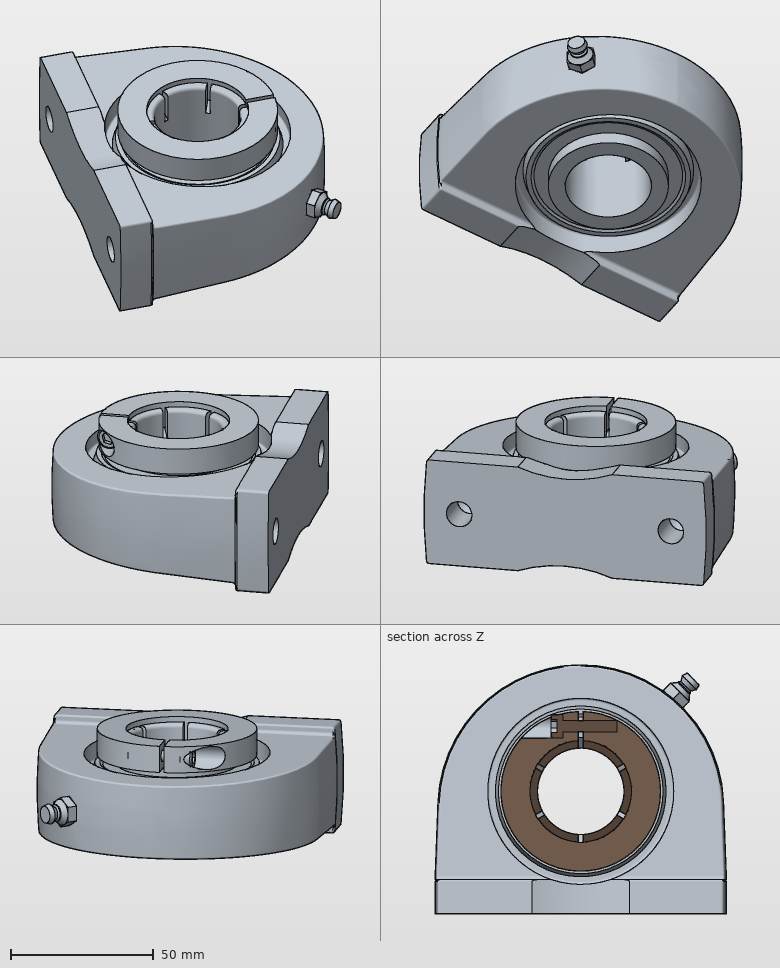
import cadquery as cq
import math


base_width = 101.9
base_height = 38.1
base_front_y = -42.8
base_back_y = -30.9
base_corner_fillet = 1.0
back_edge_fillet = 0.7
step_fillet = 1.2
waist_depth = 3.1
waist_half_width = 17.0
mount_hole_diameter = 9.2
mount_hole_spacing = 76.4
mount_hole_depth = 15.3
drill_point_angle = 118.0

crown_radius = 183.4
dome_radius = 50.0
dome_center_y = -5.8
flank_angle = 2.2
flank_length = 30.6
flank_overlap = 10.2
body_end_half_height = 13.0
body_edge_fillet = 0.7

mouth_radius = 65.0 / 2
mouth_floor_z = 8.4
mouth_floor_fillet = 0.8
seat_sphere_radius = 31.0

outer_ring_half_width = 11.5
outer_ring_bore_radius = 54.0 / 2
raceway_half_width = 8.2
inner_ring_radius = 42.0 / 2
inner_ring_bottom_z = -16.0
shoulder_z = 14.3
sleeve_radius = 17.8
sleeve_top_z = 21.7
bore_radius = 30.2 / 2
bore_rim_fillet = 1.5
slot_count = 6
slot_width = 1.6
slot_bottom_z = 10.6
first_slot_angle = 90.0
seal_lip_radius = 52.0 / 2
seal_recess = 0.5

collar_radius = 27.9
collar_top_z = 23.6
screw_y = 22.7
screw_z = 19.1
screw_head_radius = 8.3 / 2
screw_face_radius = 7.0 / 2
screw_head_x = -10.4
screw_head_length = 4.1
screw_shank_radius = 4.0 / 2
screw_end_x = 12.6
socket_flats = 4.3
socket_depth = 2.0
socket_turn = 15.0

nipple_angle = 45.0
nipple_seat_distance = 45.3
nipple_hex_flats = 9.2
nipple_hex_height = 3.7
nipple_cone_z = 5.5
nipple_neck_radius = 6.0 / 2
nipple_neck_z = 5.9
nipple_waist_radius = 2.4
nipple_waist_z = 6.5
nipple_head_radius = 7.0 / 2
nipple_head_z = 8.4
nipple_tip_radius = 6.0 / 2
nipple_tip_z = 10.2

base_half_height = base_height / 2
base_half_width = base_width / 2
waist_floor_z = base_half_height - waist_depth
waist_radius = (waist_half_width**2 + waist_depth**2) / (2 * waist_depth)
dome_end_y = dome_center_y + dome_radius
side_edge_drop = crown_radius - math.sqrt(crown_radius**2 - base_half_height**2)


def across_corners(across_flats):
    return across_flats / math.cos(math.pi / 6)


def revolved(points):
    """Solid of revolution about Z from (radius, z) points."""
    return cq.Workplane("XZ").polyline(points).close().revolve(360, (0, 0), (0, 1))


def crowned_prism(length):
    """Block running back from the front face, with flat top and bottom and bowed sides."""
    edge_x = base_half_width - side_edge_drop
    outline = (
        cq.Workplane("XZ", origin=(0, base_front_y, 0))
        .moveTo(-edge_x, -base_half_height)
        .lineTo(edge_x, -base_half_height)
        .threePointArc((base_half_width, 0), (edge_x, base_half_height))
        .lineTo(-edge_x, base_half_height)
        .threePointArc((-base_half_width, 0), (-edge_x, -base_half_height))
        .close()
    )
    return outline.extrude(-length)


def crowned_section(plane, inner_x):
    """Upright section of the body with a straight inner edge and a bowed outer edge."""
    edge_x = dome_radius - side_edge_drop
    return (
        cq.Workplane(plane)
        .moveTo(inner_x, -base_half_height)
        .lineTo(edge_x, -base_half_height)
        .threePointArc((dome_radius, 0), (edge_x, base_half_height))
        .lineTo(inner_x, base_half_height)
        .close()
    )


def body_wedge():
    """Side outline of the body, tapering to the far end and rounded into the base step."""
    taper = math.atan2(waist_floor_z - body_end_half_height, dome_end_y - base_back_y)
    arc_y = base_back_y + step_fillet
    arc_z = waist_floor_z - step_fillet * math.tan(taper) + step_fillet / math.cos(taper)
    mid_angle = math.pi / 4 + taper / 2
    tangent = (arc_y - step_fillet * math.sin(taper), arc_z - step_fillet * math.cos(taper))
    middle = (arc_y - step_fillet * math.cos(mid_angle), arc_z - step_fillet * math.sin(mid_angle))
    upper_half = (
        cq.Workplane("YZ", origin=(-base_width, 0, 0))
        .moveTo(base_back_y, 0)
        .lineTo(base_back_y, arc_z)
        .threePointArc(middle, tangent)
        .lineTo(dome_end_y, body_end_half_height)
        .lineTo(dome_end_y, 0)
        .close()
        .extrude(2 * base_width)
    )
    return upper_half.union(upper_half.mirror("XY")).clean()


def make_body():
    """Dome with spreading flanks, thinning from the base towards the far end."""
    turn = math.radians(flank_angle)
    plane = cq.Plane(
        origin=(0, dome_center_y, 0),
        xDir=(math.cos(turn), math.sin(turn), 0),
        normal=(math.sin(turn), -math.cos(turn), 0),
    )
    quarter_dome = crowned_section(plane, 0).revolve(90 - flank_angle, (0, 0), (0, 1))
    flank = crowned_section(plane, -flank_overlap).extrude(flank_length)
    half_body = quarter_dome.union(flank)
    body = half_body.union(half_body.mirror("YZ")).clean().intersect(body_wedge())
    body = body.intersect(crowned_prism(base_width))
    mid_band = cq.selectors.BoxSelector((-base_width, -base_width, -1), (base_width, base_width, 1))
    rims = body.edges(cq.selectors.StringSyntaxSelector("not %LINE") - mid_band)
    return rims.fillet(body_edge_fillet)


def waist_cutter(side):
    """Round bar that hollows the top (side = 1) or bottom (side = -1) of the base."""
    length = base_back_y + step_fillet - base_front_y
    axis_z = waist_floor_z + waist_radius
    start = cq.Vector(0, base_front_y, side * axis_z)
    return cq.Workplane(cq.Solid.makeCylinder(waist_radius, length, start, cq.Vector(0, 1, 0)))


def mount_holes():
    """Pair of drilled blind holes in the front face."""
    radius = mount_hole_diameter / 2
    tip_depth = mount_hole_depth + radius / math.tan(math.radians(drill_point_angle / 2))
    profile = (
        cq.Workplane("XY")
        .lineTo(radius, 0)
        .lineTo(radius, mount_hole_depth)
        .lineTo(0, tip_depth)
        .close()
    )
    hole = profile.revolve(360, (0, 0), (0, 1))
    half_spacing = mount_hole_spacing / 2
    left = hole.translate((-half_spacing, base_front_y, 0))
    return left.union(hole.translate((half_spacing, base_front_y, 0)))


def bearing_seat():
    """Spherical seat with a wider mouth, rounded at its floor, on both sides."""
    seat = cq.Workplane("XY").sphere(seat_sphere_radius)
    mouth = (
        cq.Workplane("XY", origin=(0, 0, mouth_floor_z))
        .circle(mouth_radius)
        .extrude(base_height)
        .faces("<Z")
        .edges()
        .fillet(mouth_floor_fillet)
    )
    return seat.union(mouth).union(mouth.mirror("XY"))


def make_housing():
    base = crowned_prism(base_back_y - base_front_y).edges("|Y").fillet(base_corner_fillet)
    base = base.faces(">Y").edges().fillet(back_edge_fillet)
    housing = base.union(make_body())
    for side in (1, -1):
        housing = housing.cut(waist_cutter(side))
    housing = housing.cut(mount_holes()).cut(bearing_seat())
    return housing.cut(make_grease_nipple())


def make_outer_ring():
    """Ring with a spherical outside that can tilt in the housing seat."""
    ball = cq.Workplane("XY").sphere(seat_sphere_radius)
    blank = (
        cq.Workplane("XY", origin=(0, 0, -outer_ring_half_width))
        .circle(seat_sphere_radius)
        .circle(outer_ring_bore_radius)
        .extrude(2 * outer_ring_half_width)
    )
    return blank.intersect(ball)


def sleeve_slots():
    """Radial slots through the sleeve, each with a floor rising outward at 45 degrees."""
    run_out = collar_radius
    axis_z = slot_bottom_z - bore_radius
    slot = (
        cq.Workplane("XZ", origin=(0, slot_width / 2, 0))
        .moveTo(0, axis_z)
        .lineTo(run_out, axis_z + run_out)
        .lineTo(0, axis_z + run_out)
        .close()
        .extrude(slot_width)
    )
    slots = cq.Workplane("XY")
    for index in range(slot_count):
        angle = first_slot_angle + index * 360 / slot_count
        slots = slots.union(slot.rotate((0, 0, 0), (0, 0, 1), angle))
    return slots


def make_inner_ring():
    """Shouldered ring with a slotted sleeve that the collar squeezes onto the shaft."""
    ring = (
        cq.Workplane("XY", origin=(0, 0, inner_ring_bottom_z))
        .circle(inner_ring_radius)
        .extrude(shoulder_z - inner_ring_bottom_z)
        .faces(">Z")
        .workplane()
        .circle(sleeve_radius)
        .extrude(sleeve_top_z - shoulder_z)
    )
    ring = ring.faces(">Z").workplane().hole(2 * bore_radius)
    bore_rim = ring.faces(">Z").edges("%CIRCLE").edges(cq.selectors.RadiusNthSelector(0))
    return bore_rim.fillet(bore_rim_fillet).cut(sleeve_slots())


def make_seal(side):
    """Annular seal between the rings, above (side = 1) or below (side = -1) the raceway."""
    face = outer_ring_half_width
    seal = revolved(
        [
            (inner_ring_radius, raceway_half_width),
            (outer_ring_bore_radius, raceway_half_width),
            (outer_ring_bore_radius, face),
            (seal_lip_radius, face - seal_recess),
            (inner_ring_radius, face - seal_recess),
        ]
    )
    return seal if side > 0 else seal.mirror("XY")


def rod_along_x(radius, start_x, end_x):
    """Round rod on the screw axis."""
    start = cq.Vector(start_x, screw_y, screw_z)
    return cq.Workplane(cq.Solid.makeCylinder(radius, end_x - start_x, start, cq.Vector(1, 0, 0)))


def screw_blank():
    shank = rod_along_x(screw_shank_radius, screw_head_x, screw_end_x)
    head = rod_along_x(screw_head_radius, screw_head_x, screw_head_x + screw_head_length)
    return shank.union(head)


def make_clamp_screw():
    screw = screw_blank().faces("<X").edges().chamfer(screw_head_radius - screw_face_radius)
    socket = (
        cq.Workplane("YZ", origin=(screw_head_x, screw_y, screw_z))
        .polygon(6, across_corners(socket_flats))
        .extrude(socket_depth)
        .rotate((0, screw_y, screw_z), (1, screw_y, screw_z), socket_turn)
    )
    return screw.cut(socket)


def make_collar():
    """Split collar with a pocket for the clamp screw across its gap."""
    height = collar_top_z - shoulder_z
    collar = (
        cq.Workplane("XY", origin=(0, 0, shoulder_z))
        .circle(collar_radius)
        .circle(sleeve_radius)
        .extrude(height)
    )
    gap = (
        cq.Workplane("XY", origin=(0, collar_radius / 2, shoulder_z))
        .rect(slot_width, collar_radius)
        .extrude(height)
    )
    head_access = rod_along_x(screw_head_radius, -collar_radius, screw_head_x)
    return collar.cut(gap).cut(screw_blank()).cut(head_access)


def make_grease_nipple():
    """Hexagon foot and turned head, standing out radially from the dome."""
    foot = cq.Workplane("XY").polygon(6, across_corners(nipple_hex_flats)).extrude(nipple_hex_height)
    head = revolved(
        [
            (0, nipple_hex_height),
            (nipple_hex_flats / 2, nipple_hex_height),
            (nipple_neck_radius, nipple_cone_z),
            (nipple_neck_radius, nipple_neck_z),
            (nipple_waist_radius, nipple_waist_z),
            (nipple_head_radius, nipple_head_z),
            (nipple_tip_radius, nipple_tip_z),
            (0, nipple_tip_z),
        ]
    )
    return (
        foot.union(head)
        .rotate((0, 0, 0), (0, 1, 0), 90)
        .translate((nipple_seat_distance, 0, 0))
        .rotate((0, 0, 0), (0, 0, 1), nipple_angle)
    )


housing = make_housing()
outer_ring = make_outer_ring()
inner_ring = make_inner_ring()
collar = make_collar()
clamp_screw = make_clamp_screw()
grease_nipple = make_grease_nipple()
seals = [make_seal(side).val() for side in (1, -1)]

result = cq.Compound.makeCompound(
    [
        housing.val(),
        outer_ring.val(),
        inner_ring.val(),
        collar.val(),
        clamp_screw.val(),
        grease_nipple.val(),
        *seals,
    ]
)